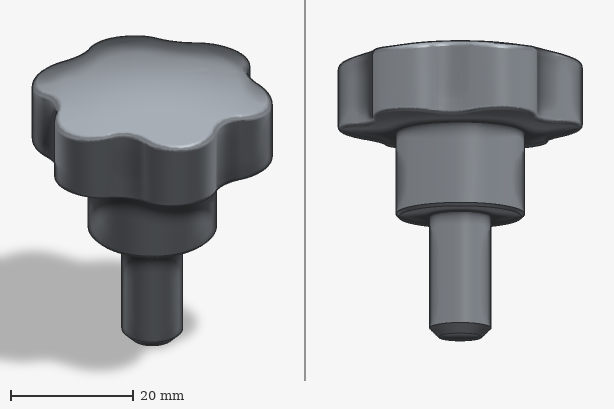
import cadquery as cq
import math

total_height = 48.0
head_height = 14.2
hub_height = 13.8
head_bottom = total_height - head_height
hub_bottom = head_bottom - hub_height

lobe_count = 6
head_diameter = 40.0
lobe_radius = 7.0
valley_radius = 6.0
dome_radius = 74.9
envelope_margin = 0.5
rim_fillet = 1.0

underside_flat_radius = 12.0
underside_radius = 43.2
underside_fillet = 0.7

hub_diameter = 21.0
hub_chamfer = 0.5
shaft_diameter = 10.0
shaft_chamfer = 1.5


def polar(radius, angle):
    return (radius * math.cos(angle), radius * math.sin(angle))


def lobed_outline():
    """Closed outline of lobes joined by tangent valley arcs."""
    half_pitch = math.pi / lobe_count
    lobe_center = head_diameter / 2 - lobe_radius
    center_gap = lobe_radius + valley_radius
    half_chord = lobe_center * math.sin(half_pitch)
    valley_center = lobe_center * math.cos(half_pitch) + math.sqrt(center_gap**2 - half_chord**2)
    valley_floor = valley_center - valley_radius
    fraction = lobe_radius / center_gap
    valley_x, valley_y = polar(valley_center, half_pitch)
    tangent_x = lobe_center + fraction * (valley_x - lobe_center)
    tangent_y = fraction * valley_y
    tangent_distance = math.hypot(tangent_x, tangent_y)
    tangent_angle = math.atan2(tangent_y, tangent_x)

    outline = cq.Workplane("XY").workplane(offset=head_bottom)
    outline = outline.moveTo(*polar(tangent_distance, -tangent_angle))
    for index in range(lobe_count):
        axis = 2 * half_pitch * index
        outline = outline.threePointArc(
            polar(head_diameter / 2, axis), polar(tangent_distance, axis + tangent_angle)
        )
        outline = outline.threePointArc(
            polar(valley_floor, axis + half_pitch),
            polar(tangent_distance, axis + 2 * half_pitch - tangent_angle),
        )
    return outline.close()


def head_envelope():
    """Revolved body that gives the head its domed top and curved underside."""
    reach = head_diameter / 2 + envelope_margin

    def dome_z(radius):
        return total_height - dome_radius + math.sqrt(dome_radius**2 - radius**2)

    def underside_z(radius):
        offset = radius - underside_flat_radius
        return head_bottom + underside_radius - math.sqrt(underside_radius**2 - offset**2)

    underside_middle = (underside_flat_radius + reach) / 2
    return (
        cq.Workplane("YZ")
        .moveTo(0, head_bottom)
        .lineTo(underside_flat_radius, head_bottom)
        .threePointArc((underside_middle, underside_z(underside_middle)), (reach, underside_z(reach)))
        .lineTo(reach, dome_z(reach))
        .threePointArc((reach / 2, dome_z(reach / 2)), (0, total_height))
        .close()
        .revolve(360, (0, 0, 0), (0, 1, 0))
    )


def fillet_rim(head, upper, radius):
    """Round the outer rim of the head on its upper or lower side."""
    middle_z = head_bottom + head_height / 2
    rim = []
    for edge in head.edges("not |Z").vals():
        center = edge.Center()
        is_outer = math.hypot(center.x, center.y) > underside_flat_radius
        if is_outer and (center.z > middle_z) == upper:
            rim.append(edge)
    return head.newObject(rim).fillet(radius)


def make_head():
    head = lobed_outline().extrude(head_height).intersect(head_envelope())
    head = fillet_rim(head, True, rim_fillet)
    return fillet_rim(head, False, underside_fillet)


hub = (
    cq.Workplane("XY")
    .workplane(offset=hub_bottom)
    .circle(hub_diameter / 2)
    .extrude(hub_height)
    .faces("<Z")
    .chamfer(hub_chamfer)
)
shaft = (
    cq.Workplane("XY")
    .circle(shaft_diameter / 2)
    .extrude(hub_bottom)
    .faces("<Z")
    .chamfer(shaft_chamfer)
)
result = make_head().union(hub).union(shaft)